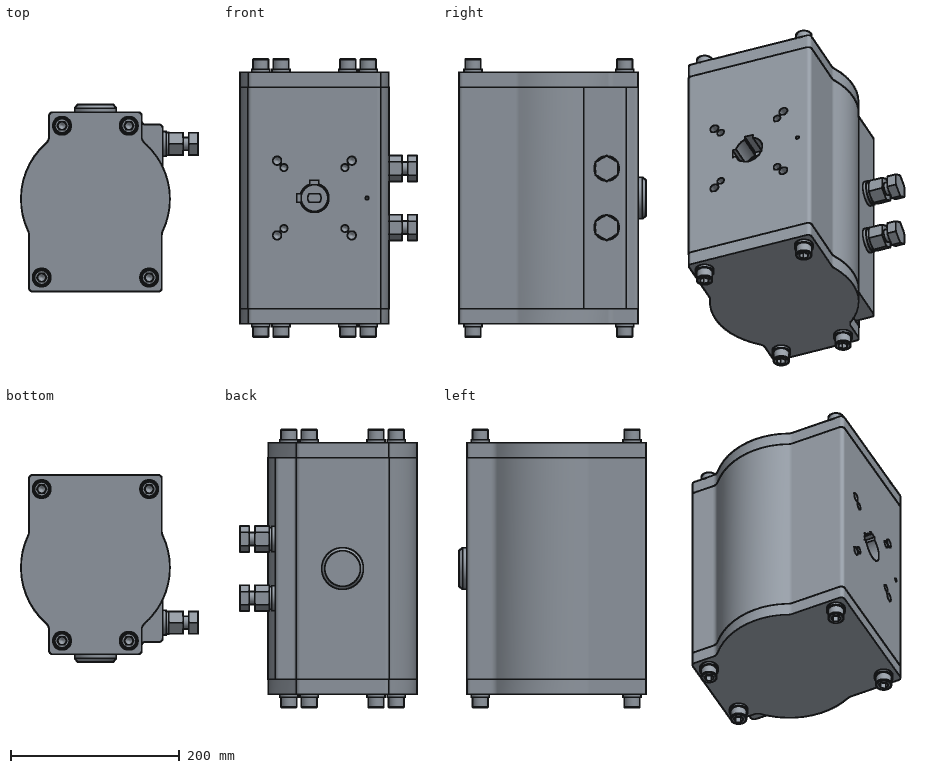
import cadquery as cq
import math


BARREL_RADIUS = 88.5
BACK_Y = 103.0
FRONT_Y = -109.8
NECK_HALF_WIDTH = 55.0
FOOT_HALF_WIDTH = 78.8
CORNER_RADIUS = 4.5
BLEND_RADIUS = 9.5

OVERALL_LENGTH = 329.7
HOUSING_LENGTH = 298.0
CAP_THICKNESS = 17.8
CAP_INSET = 0.2
PROFILE_LENGTH = HOUSING_LENGTH - 2 * CAP_THICKNESS

PORT_BLOCK_X = 79.8
PORT_BLOCK_BACK_Y = 88.5
PORT_BLOCK_BLEND = 3.3

GLAND_Y = 65.3
GLAND_SPACING = 70.0
GLAND_TIP_X = 121.5
FLANGE_DIAMETER = 29.7
FLANGE_END_X = 83.7
COLLAR_DIAMETER = 27.0
GLAND_NUT_START_X = 86.7
GLAND_NUT_END_X = 104.0
GLAND_NECK_DIAMETER = 15.5
CLAMP_NUT_START_X = 110.5
NUT_FLATS = 26.7
NUT_CORNERS = NUT_FLATS / math.cos(math.pi / 6)
NUT_CHAMFER = 0.5

SCREW_HEAD_DIAMETER = 18.8
SCREW_WASHER_DIAMETER = 21.8
SCREW_WASHER_THICKNESS = 3.5
SCREW_HEIGHT = (OVERALL_LENGTH - HOUSING_LENGTH) / 2
SCREW_CHAMFER = 1.0
SCREW_SOCKET_FLATS = 10.0
SCREW_SOCKET_DEPTH = 8.2
BACK_SCREW_X = 39.5
BACK_SCREW_Y = 86.7
FRONT_SCREW_X = 63.5
FRONT_SCREW_Y = -93.0

SOCKET_DIAMETER = 34.3
SOCKET_DEPTH = 33.0
KEYWAY_WIDTH = 10.5
KEYWAY_REACH = 20.8

LARGE_HOLE_DIAMETER = 10.2
LARGE_HOLE_PITCH = 88.5
SMALL_HOLE_DIAMETER = 8.5
SMALL_HOLE_PITCH = 72.2
MOUNTING_HOLE_DEPTH = 16.5
PILOT_HOLE_DIAMETER = 4.0
PILOT_HOLE_X = 62.3
PILOT_HOLE_DEPTH = 8.2
DRILL_POINT_ANGLE = 118

STEM_DIAMETER = 31.5
STEM_END_Y = FRONT_Y + SOCKET_DEPTH
DOUBLE_D_DIAMETER = 15.8
DOUBLE_D_FLATS = 10.5
DOUBLE_D_DEPTH = 10.0
DISC_DIAMETER = 49.5
DISC_TOP_Y = 112.0
DISC_CHAMFER_HEIGHT = 4.5
DISC_CHAMFER_INSET = 3.5


def rounded_slab(half_width, end_y, length):
    """Slab from the barrel axis to end_y with its two far corners rounded."""
    far_side = ">Y" if end_y > 0 else "<Y"
    return (
        cq.Workplane("XY")
        .center(0, end_y / 2)
        .rect(2 * half_width, abs(end_y))
        .extrude(length / 2, both=True)
        .edges("|Z")
        .edges(far_side)
        .fillet(CORNER_RADIUS)
    )


def housing_section(length, inset=0.0):
    """Barrel merged with the flat-sided neck and foot, centred on Z = 0 and drawn in by inset."""
    radius = BARREL_RADIUS - inset
    neck_half_width = NECK_HALF_WIDTH - inset
    foot_half_width = FOOT_HALF_WIDTH - inset
    section = (
        cq.Workplane("XY")
        .circle(radius)
        .extrude(length / 2, both=True)
        .union(rounded_slab(neck_half_width, BACK_Y - inset, length))
        .union(rounded_slab(foot_half_width, FRONT_Y + inset, length))
    )
    for half_width, side in ((neck_half_width, 1), (foot_half_width, -1)):
        meet_y = side * math.sqrt(radius**2 - half_width**2)
        for x in (-half_width, half_width):
            corner = cq.NearestToPointSelector((x, meet_y, 0))
            section = section.edges(corner).fillet(BLEND_RADIUS)
    return section


def port_block():
    """Block filling the corner between the neck and the barrel on the +X side."""
    return (
        cq.Workplane("XY")
        .center(PORT_BLOCK_X / 2, PORT_BLOCK_BACK_Y / 2)
        .rect(PORT_BLOCK_X, PORT_BLOCK_BACK_Y)
        .extrude(PROFILE_LENGTH / 2, both=True)
        .edges("|Z and >X and >Y")
        .fillet(CORNER_RADIUS)
    )


def drill_point_length(radius):
    return radius / math.tan(math.radians(DRILL_POINT_ANGLE / 2))


def rod_x(diameter, start_x, end_x, z):
    """Cylinder along X on a gland axis."""
    return (
        cq.Workplane("YZ", origin=(start_x, GLAND_Y, z))
        .circle(diameter / 2)
        .extrude(end_x - start_x)
    )


def hex_nut_x(start_x, end_x, z):
    """Hexagon along X with two corners pointing up and down and turned-down ends."""
    nut = (
        cq.Workplane("YZ", origin=(start_x, GLAND_Y, z))
        .transformed(rotate=(0, 0, 90))
        .polygon(6, NUT_CORNERS)
        .extrude(end_x - start_x)
    )
    turned = rod_x(NUT_CORNERS, start_x, end_x, z).faces("<X or >X").chamfer(NUT_CHAMFER)
    return nut.intersect(turned)


def cable_gland(z):
    gland = rod_x(FLANGE_DIAMETER, PORT_BLOCK_X, FLANGE_END_X, z)
    gland = gland.union(rod_x(COLLAR_DIAMETER, FLANGE_END_X, GLAND_NUT_START_X, z))
    gland = gland.union(hex_nut_x(GLAND_NUT_START_X, GLAND_NUT_END_X, z))
    gland = gland.union(rod_x(GLAND_NECK_DIAMETER, GLAND_NUT_END_X, CLAMP_NUT_START_X, z))
    return gland.union(hex_nut_x(CLAMP_NUT_START_X, GLAND_TIP_X, z))


def cap_screw(x, y):
    """Washer and hexagon-socket head standing on the upper end cap."""
    washer = cq.Workplane("XY").circle(SCREW_WASHER_DIAMETER / 2).extrude(SCREW_WASHER_THICKNESS)
    head = (
        cq.Workplane("XY")
        .circle(SCREW_HEAD_DIAMETER / 2)
        .extrude(SCREW_HEIGHT)
        .faces(">Z")
        .chamfer(SCREW_CHAMFER)
    )
    socket_radius = SCREW_SOCKET_FLATS / 2
    socket_floor = SCREW_HEIGHT - SCREW_SOCKET_DEPTH
    socket = (
        cq.Workplane("XY", origin=(0, 0, socket_floor))
        .polygon(6, SCREW_SOCKET_FLATS / math.cos(math.pi / 6))
        .extrude(SCREW_SOCKET_DEPTH)
    )
    drill_point = (
        cq.Workplane("XZ")
        .polyline([
            (0, socket_floor),
            (socket_radius, socket_floor),
            (0, socket_floor - drill_point_length(socket_radius)),
        ])
        .close()
        .revolve(360, (0, 0, 0), (0, 1, 0))
    )
    return washer.union(head).cut(socket.union(drill_point)).translate((x, y, HOUSING_LENGTH / 2))


def drilled_hole(diameter, depth, x, z):
    """Blind hole with a conical drill point, entering the mounting face."""
    radius = diameter / 2
    return (
        cq.Workplane("XY")
        .polyline([(0, 0), (radius, 0), (radius, depth), (0, depth + drill_point_length(radius))])
        .close()
        .revolve(360, (0, 0, 0), (0, 1, 0))
        .translate((x, FRONT_Y, z))
    )


def plane_at_y(y):
    """Work plane across the shaft axis whose normal points to +Y."""
    return cq.Workplane(cq.Plane(origin=(0, y, 0), xDir=(1, 0, 0), normal=(0, 1, 0)))


def drive_socket():
    """Round bore with one keyway toward -X and one toward +Z."""
    bore = plane_at_y(FRONT_Y).circle(SOCKET_DIAMETER / 2).extrude(SOCKET_DEPTH)
    side_keyway = (
        plane_at_y(FRONT_Y)
        .center(-KEYWAY_REACH / 2, 0)
        .rect(KEYWAY_REACH, KEYWAY_WIDTH)
        .extrude(SOCKET_DEPTH)
    )
    top_keyway = side_keyway.rotate((0, 0, 0), (0, 1, 0), 90)
    return bore.union(side_keyway).union(top_keyway)


def shaft_stem():
    """Plain cylinder that fills the shaft hole of the housing."""
    return plane_at_y(STEM_END_Y).circle(STEM_DIAMETER / 2).extrude(BACK_Y - STEM_END_Y)


def make_housing():
    housing = housing_section(PROFILE_LENGTH).union(port_block())
    inner_corner = cq.NearestToPointSelector((NECK_HALF_WIDTH, PORT_BLOCK_BACK_Y, 0))
    housing = housing.edges(inner_corner).fillet(PORT_BLOCK_BLEND)

    cap_offset = (PROFILE_LENGTH + CAP_THICKNESS) / 2
    cap = housing_section(CAP_THICKNESS, CAP_INSET)
    for z in (-cap_offset, cap_offset):
        housing = housing.union(cap.translate((0, 0, z)))

    for z in (-GLAND_SPACING / 2, GLAND_SPACING / 2):
        housing = housing.union(cable_gland(z))

    for x, y in ((BACK_SCREW_X, BACK_SCREW_Y), (FRONT_SCREW_X, FRONT_SCREW_Y)):
        for side in (-1, 1):
            screw = cap_screw(side * x, y)
            housing = housing.union(screw).union(screw.mirror("XY"))

    housing = housing.cut(drive_socket()).cut(shaft_stem())
    for diameter, pitch in (
        (LARGE_HOLE_DIAMETER, LARGE_HOLE_PITCH),
        (SMALL_HOLE_DIAMETER, SMALL_HOLE_PITCH),
    ):
        for x in (-pitch / 2, pitch / 2):
            for z in (-pitch / 2, pitch / 2):
                housing = housing.cut(drilled_hole(diameter, MOUNTING_HOLE_DEPTH, x, z))
    return housing.cut(drilled_hole(PILOT_HOLE_DIAMETER, PILOT_HOLE_DEPTH, PILOT_HOLE_X, 0))


def make_drive_shaft():
    """Stem with a double-D recess in its end, and a disc with a chamfered rim on the back face."""
    disc = (
        plane_at_y(BACK_Y)
        .circle(DISC_DIAMETER / 2)
        .extrude(DISC_TOP_Y - BACK_Y)
        .faces(">Y")
        .chamfer(DISC_CHAMFER_HEIGHT, DISC_CHAMFER_INSET)
    )
    round_recess = plane_at_y(STEM_END_Y).circle(DOUBLE_D_DIAMETER / 2).extrude(DOUBLE_D_DEPTH)
    flats = plane_at_y(STEM_END_Y).rect(DOUBLE_D_DIAMETER, DOUBLE_D_FLATS).extrude(DOUBLE_D_DEPTH)
    return shaft_stem().union(disc).cut(round_recess.intersect(flats))


housing = make_housing()
drive_shaft = make_drive_shaft()

result = cq.Compound.makeCompound([housing.val(), drive_shaft.val()])